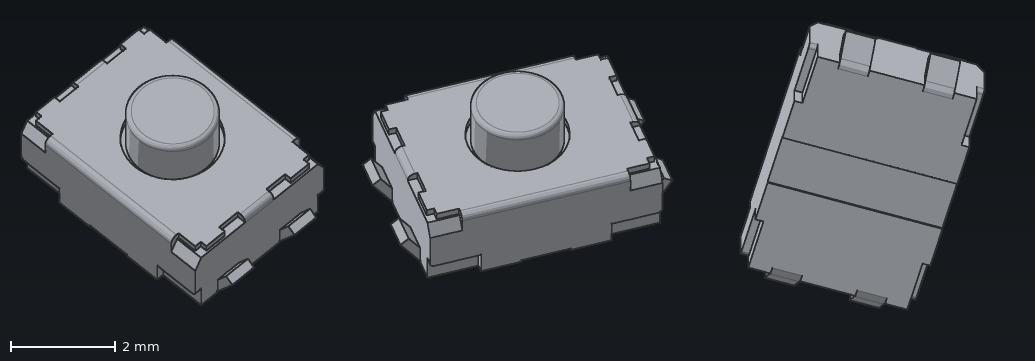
import cadquery as cq
import math

total_length = 5.5
body_length = 4.695
body_width = 3.5
total_height = 2.5

housing_height = 1.5
side_recess = 0.16
corner_length = 0.65
corner_chamfer_height = 0.265
center_block_length = 2.64
underside_groove_width = 1.0
underside_groove_depth = 0.04

cover_thickness = 0.145
cover_bend_radius = cover_thickness
flange_bottom = 0.45
flange_corner_radius = 0.09
ear_inset = 0.05
notch_inset = 0.2
ear_inner_y = 0.895
ear_outer_y = 1.395
tab_width = 0.78
cover_hole_diameter = 2.0

button_diameter = 1.8
button_fillet = 0.105

lead_width = 0.595
lead_pitch = 1.695
lead_thickness = 0.21
lead_angle = 55.0
lead_outer_radius = 0.22
lead_tip_height = 0.715

body_top = housing_height + cover_thickness


def block(length, width, bottom, top):
    """Box centred on the Z axis between two heights."""
    return cq.Workplane("XY").workplane(offset=bottom).rect(length, width).extrude(top - bottom)


def make_housing():
    """Housing and flat flanges: narrow base, flush centre block and chamfered full-width upper part."""
    base = block(body_length, body_width - 2 * side_recess, 0, housing_height)
    center = block(center_block_length, body_width, 0, housing_height - corner_chamfer_height)
    upper = (
        block(body_length, body_width, flange_bottom, housing_height)
        .faces(">Z").edges("|X").chamfer(corner_chamfer_height, side_recess)
    )
    upper = upper.faces("<Z").edges("|Y").fillet(flange_corner_radius)
    return base.union(upper).union(center)


def make_cover():
    """Top sheet with corner ears, bent down over both long sides and by one tab at each end."""
    notched_length = body_length - 2 * notch_inset
    notched_width = body_width - 2 * notch_inset
    sheet = block(notched_length, notched_width, housing_height, body_top)

    ear_length = body_length - 2 * ear_inset
    ear_width = ear_outer_y - ear_inner_y
    for side in (-1, 1):
        ear_pair = block(ear_length, ear_width, housing_height, body_top)
        sheet = sheet.union(ear_pair.translate((0, side * (ear_inner_y + ear_outer_y) / 2, 0)))

    bend_bottom = housing_height - corner_chamfer_height
    flanges = (
        block(body_length - 2 * corner_length, body_width, bend_bottom, body_top)
        .faces(">Z").edges("|X").fillet(cover_bend_radius)
    )
    tabs = (
        block(body_length, tab_width, housing_height - cover_thickness, body_top)
        .faces(">Z").edges("|Y").fillet(cover_bend_radius)
    )
    hole = (
        cq.Workplane("XY").workplane(offset=housing_height)
        .circle(cover_hole_diameter / 2).extrude(cover_thickness)
    )
    return sheet.union(flanges).union(tabs).cut(hole)


def make_button():
    """Round push button with a rounded top edge."""
    return (
        cq.Workplane("XY").workplane(offset=housing_height)
        .circle(button_diameter / 2).extrude(total_height - housing_height)
        .faces(">Z").edges().fillet(button_fillet)
    )


angle = math.radians(lead_angle)
sine = math.sin(angle)
cosine = math.cos(angle)
tip_outer_x = total_length / 2
tip_outer_z = lead_tip_height - lead_thickness * cosine
bend_end_z = lead_outer_radius * (1 - cosine)
bend_end_x = tip_outer_x - (tip_outer_z - bend_end_z) / math.tan(angle)
bend_start_x = bend_end_x - lead_outer_radius * sine
bend_inner_radius = lead_outer_radius - lead_thickness


def bend_point(radius, turn):
    """Point on a bend arc after turning by an angle from the flat part."""
    return (bend_start_x + radius * math.sin(turn), lead_outer_radius - radius * math.cos(turn))


def make_lead():
    """Lead strip centred on Y = 0."""
    flat_start_x = bend_start_x - lead_thickness
    return (
        cq.Workplane("XZ")
        .moveTo(flat_start_x, 0)
        .lineTo(bend_start_x, 0)
        .threePointArc(bend_point(lead_outer_radius, angle / 2), bend_point(lead_outer_radius, angle))
        .lineTo(tip_outer_x, tip_outer_z)
        .lineTo(tip_outer_x - lead_thickness * sine, lead_tip_height)
        .lineTo(*bend_point(bend_inner_radius, angle))
        .threePointArc(bend_point(bend_inner_radius, angle / 2), bend_point(bend_inner_radius, 0))
        .lineTo(flat_start_x, lead_thickness)
        .close()
        .extrude(lead_width / 2, both=True)
    )


def make_lead_relief():
    """Pocket in the housing that leaves the outside of the bend open."""
    length = body_length / 2 - bend_start_x
    return (
        cq.Workplane("XY")
        .box(length, lead_width, bend_end_z, centered=(False, True, False))
        .translate((bend_start_x, 0, 0))
    )


result = make_housing().union(make_cover()).union(make_button())

for end_angle in (0, 180):
    for side in (-1, 1):
        offset = (0, side * lead_pitch / 2, 0)
        relief = make_lead_relief().translate(offset).rotate((0, 0, 0), (0, 0, 1), end_angle)
        lead = make_lead().translate(offset).rotate((0, 0, 0), (0, 0, 1), end_angle)
        result = result.cut(relief).union(lead)

result = result.cut(block(underside_groove_width, body_width, 0, underside_groove_depth))